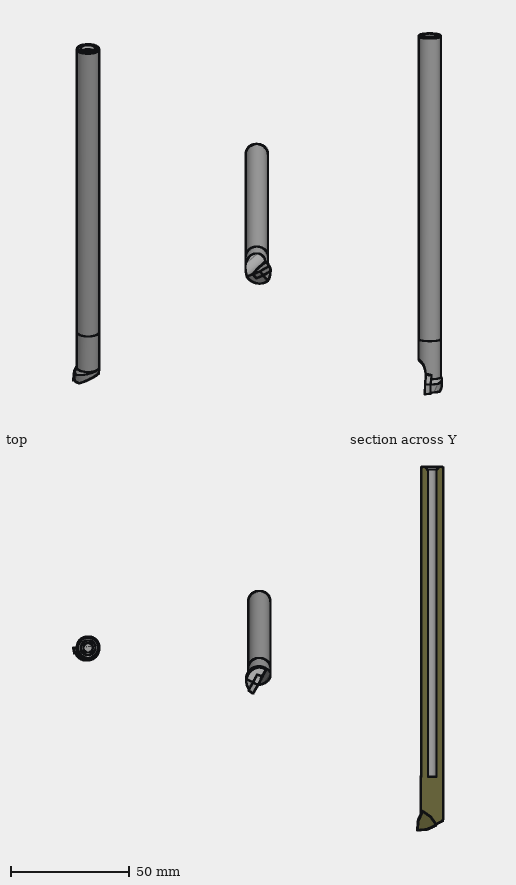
import cadquery as cq
import math


total_length = 153.65
shank_diameter = 9.51
head_diameter = 9.61
head_length = 22.7
shank_chamfer = 0.5

bore_diameter = 4.0
bore_mouth_diameter = 6.2
bore_mouth_depth = 1.3
bore_end_z = head_length

inscribed_radius = 6.35 / 2
insert_thickness = 2.38
nose_radius = 0.4
corner_angle = 80.0
flank_angle = 7.0
sharp_corners = 3
corner_pitch = 360 / sharp_corners
tip_direction = 225.0

rake_tilt = 5.0
tip_x = -6.345

flare_start_z = 6.3
flare_slope = math.tan(math.radians(25))
relief_center_x = -0.68
relief_taper = 0.05

end_face_z = 0.7
end_bend_x = -1.9
end_rise_x = 4.25
end_rise_z = 3.9

ramp_height = 9.3
ramp_x_slope = 0.6
ramp_y_slope = 0.8
ramp_fillet = 8.0

clear = 20.0

shank_radius = shank_diameter / 2
head_radius = head_diameter / 2


def polar(center, radius, angle):
    a = math.radians(angle)
    return (center[0] + radius * math.cos(a), center[1] + radius * math.sin(a))


def along(start, end, distance):
    """Point on the line from start through end, the given distance past end."""
    length = math.dist(start, end)
    return tuple(e + (e - s) * distance / length for s, e in zip(start, end))


tilt = math.radians(rake_tilt)
rake_plane = cq.Plane(
    origin=(tip_x, 0, 0),
    xDir=(math.cos(tilt), math.sin(tilt), 0),
    normal=(math.sin(tilt), -math.cos(tilt), 0),
)

half_corner = corner_angle / 2
sharp_distance = inscribed_radius / math.sin(math.radians(half_corner))
blunt_distance = inscribed_radius / math.sin(math.radians(corner_angle))
nose_distance = sharp_distance - nose_radius / math.sin(math.radians(half_corner))
insert_center = polar((nose_radius, nose_radius), nose_distance, tip_direction - 180)


def make_insert():
    tangent_angle = 90 - half_corner
    outline = cq.Workplane(rake_plane)
    for i in range(sharp_corners):
        direction = tip_direction + i * corner_pitch
        nose = polar(insert_center, nose_distance, direction)
        arc_start = polar(nose, nose_radius, direction - tangent_angle)
        arc_middle = polar(nose, nose_radius, direction)
        arc_end = polar(nose, nose_radius, direction + tangent_angle)
        blunt_corner = polar(insert_center, blunt_distance, direction + corner_pitch / 2)
        outline = outline.moveTo(*arc_start) if i == 0 else outline.lineTo(*arc_start)
        outline = outline.threePointArc(arc_middle, arc_end).lineTo(*blunt_corner)
    return outline.close().extrude(insert_thickness, taper=flank_angle)


def make_bar_blank():
    blunt_corner_z = polar(insert_center, blunt_distance, tip_direction - corner_pitch / 2)[1]
    flare_radius = head_radius + (flare_start_z - blunt_corner_z) * flare_slope
    profile = [
        (0, 0),
        (flare_radius, 0),
        (flare_radius, blunt_corner_z),
        (head_radius, flare_start_z),
        (head_radius, head_length),
        (shank_radius, head_length),
        (shank_radius, total_length - shank_chamfer),
        (shank_radius - shank_chamfer, total_length),
        (0, total_length),
    ]
    return cq.Workplane("XZ").polyline(profile).close().revolve(360, (0, 0), (0, 1))


def make_coolant_bore():
    mouth_radius = bore_mouth_diameter / 2
    bore_radius = bore_diameter / 2
    profile = [
        (0, bore_end_z),
        (bore_radius, bore_end_z),
        (bore_radius, total_length - bore_mouth_depth),
        (mouth_radius, total_length),
        (0, total_length),
    ]
    return cq.Workplane("XZ").polyline(profile).close().revolve(360, (0, 0), (0, 1))


def make_flare_relief():
    """Ring outside an off-axis cone that trims the flare and meets the head cylinder at +X."""
    top_radius = head_radius - relief_center_x
    bottom_radius = top_radius - flare_start_z * relief_taper
    profile = [(bottom_radius, 0), (clear, 0), (clear, flare_start_z), (top_radius, flare_start_z)]
    ring = cq.Workplane("XZ").polyline(profile).close().revolve(360, (0, 0), (0, 1))
    return ring.translate((relief_center_x, 0, 0))


def make_end_cut():
    rise_slope = (end_rise_z - end_face_z) / (end_rise_x - end_bend_x)
    outline = [
        (-clear, end_face_z),
        (end_bend_x, end_face_z),
        (clear, end_face_z + (clear - end_bend_x) * rise_slope),
        (clear, -clear),
        (-clear, -clear),
    ]
    return cq.Workplane("XZ").polyline(outline).close().extrude(clear, both=True)


def make_chip_cut():
    """Space above the rake plane and below the sloping chip ramp."""
    above_rake = cq.Workplane(rake_plane).rect(2 * clear, 2 * clear).extrude(-clear)
    ramp_plane = cq.Plane(
        origin=(0, 0, ramp_height),
        xDir=(1, 0, -ramp_x_slope),
        normal=(-ramp_x_slope, ramp_y_slope, -1),
    )
    below_ramp = cq.Workplane(ramp_plane).rect(4 * clear, 4 * clear).extrude(2 * clear)
    chip_space = above_rake.intersect(below_ramp)
    ramp_foot = cq.selectors.NearestToPointSelector((0, -tip_x * math.tan(tilt), ramp_height))
    return chip_space.edges(ramp_foot).fillet(ramp_fillet)


def make_insert_pocket():
    """Pocket open on the tip side, its two walls lying on the two rear insert edges."""
    inner_corner = polar(insert_center, blunt_distance, tip_direction - 180)
    upper_corner = polar(insert_center, sharp_distance, tip_direction - corner_pitch)
    lower_corner = polar(insert_center, sharp_distance, tip_direction + corner_pitch)
    outline = [
        inner_corner,
        along(inner_corner, upper_corner, clear),
        (-clear, -clear),
        along(inner_corner, lower_corner, clear),
    ]
    return cq.Workplane(rake_plane).polyline(outline).close().extrude(insert_thickness, taper=flank_angle)


def make_bar():
    bar = make_bar_blank().cut(make_coolant_bore())
    bar = bar.cut(make_flare_relief()).cut(make_end_cut())
    return bar.cut(make_chip_cut()).cut(make_insert_pocket())


bar = make_bar()
insert = make_insert()
result = cq.Compound.makeCompound([bar.val(), insert.val()])